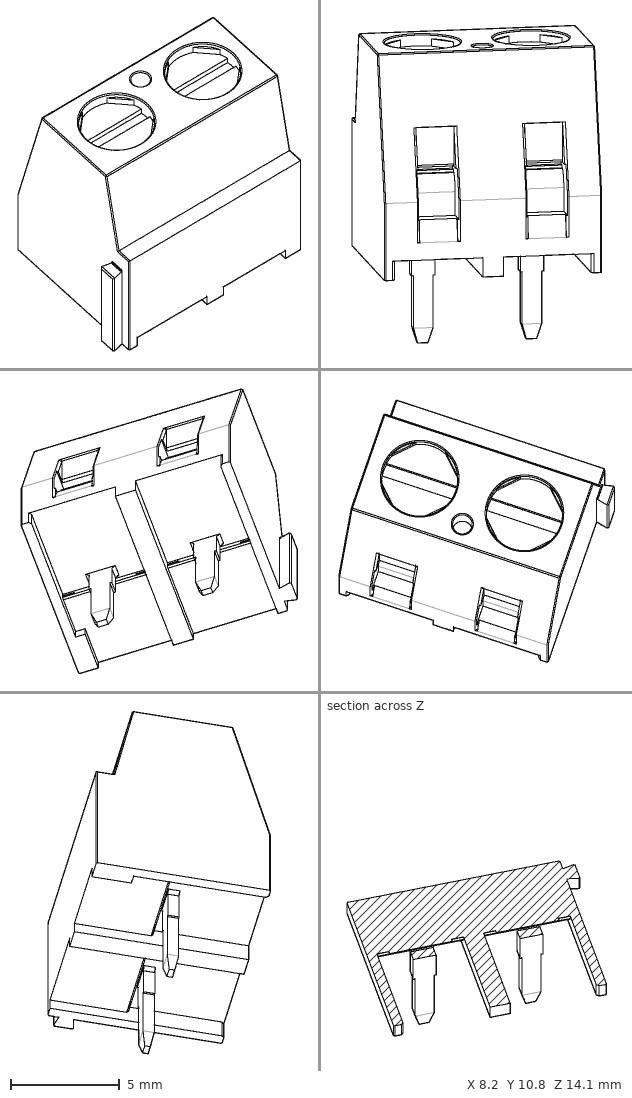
import cadquery as cq
import math


pitch = 5.08
pole_positions = (-pitch / 2, pitch / 2)
body_length = 2 * pitch
body_depth = 8.2
overall_height = 14.1
body_height = 10.28
slope_start_height = 3.62
top_front_x = 1.78
top_back_x = 6.5
step_x = 7.39
step_height = 5.98
end_chamfer = 0.05
terminal_x = 4.13

rib_projection = 0.6
rib_outer_width = 0.97
rib_root_width = 0.7
rib_x = 7.33
rib_height = 4.88
rib_chamfer = 0.07
rib_root_height = 4.95
rib_root_depth = 0.05

bore_diameter = 3.5
bore_chamfer = 0.05
flat_distance = 1.64
flat_top_depth = 0.23
screw_top_depth = 0.56
screw_slot_width = 0.62
screw_slot_depth = 0.28

test_hole_diameter = 0.9
test_hole_x = 2.74
test_hole_depth = 1.41
test_hole_chamfer = 0.05

window_width = 1.78
clamp_opening_width = 1.89
window_chamfer = 0.11
window_bottom = 1.72
window_top = 6.94
sill_height = 2.74
sill_x = 0.31
clamp_x = 0.99
clamp_arc_start = 3.85
clamp_arc_radius = 1.27
clamp_top = 4.68
clamp_lip_depth = 0.14
clamp_lip_top = 4.81
clamp_gap_top = 5.03
panel_chamfer = 0.11
clamp_gap_x = 1.69

recess_width = 4.1
recess_front_height = 0.9
recess_rear_height = 0.54
recess_front_depth = 4.51
rear_edge_chamfer = 0.08
recess_mouth_chamfer = 0.11
cage_width = 2.99
cage_groove_bottom = 0.66
cage_groove_top = 0.76
cage_groove_depth = 0.14
corner_boss_width = 0.95
corner_boss_x = 6.35

pin_thickness = 0.54
pin_shoulder_width = 1.1
pin_shoulder_bottom = -0.63
pin_width = 0.92
pin_taper_start = -3.09
pin_bottom = body_height - overall_height
pin_tip_width = 0.48
pin_tip_thickness = 0.27
pin_root_height = 0.73
pin_flare_width = 1.44


def make_housing():
    """Housing profile extruded along the row of poles, with chamfered end faces and top."""
    profile = [
        (0, 0),
        (body_depth, 0),
        (body_depth, step_height),
        (step_x, step_height),
        (top_back_x, body_height),
        (top_front_x, body_height),
        (0, slope_start_height),
    ]
    housing = cq.Workplane("XZ").polyline(profile).close().extrude(body_length / 2, both=True)
    top_edges = housing.faces(">Z").edges("|Y")
    return housing.faces("<Y or >Y").edges("not <Z").add(top_edges).chamfer(end_chamfer)


def make_rib():
    """Dovetail rib, wider at its outer face, on a slightly taller root strip."""
    face_y = -body_length / 2
    outline = [
        (rib_x - rib_root_width / 2, face_y),
        (rib_x - rib_outer_width / 2, face_y - rib_projection),
        (rib_x + rib_outer_width / 2, face_y - rib_projection),
        (rib_x + rib_root_width / 2, face_y),
    ]
    rib = cq.Workplane("XY").polyline(outline).close().extrude(rib_height)
    rib = rib.faces("<Y").edges("not <Z").chamfer(rib_chamfer)
    root = cq.Workplane("XY").box(
        rib_root_width, 2 * rib_root_depth, rib_root_height, centered=(True, True, False)
    )
    return rib.union(root.translate((rib_x, face_y, 0)))


def make_bore(pole_y):
    """Space above a screw: chamfered bore, four diagonal flats and the slot in the screw head."""
    radius = bore_diameter / 2
    floor = body_height - screw_top_depth
    bore = cq.Workplane("XY").workplane(offset=floor).circle(radius).extrude(screw_top_depth)
    flats = (
        cq.Workplane("XY")
        .workplane(offset=floor)
        .rect(2 * flat_distance, 2 * flat_distance)
        .extrude(screw_top_depth - flat_top_depth)
        .rotate((0, 0, 0), (0, 0, 1), 45)
    )
    upper = cq.Workplane("XY").workplane(offset=body_height - flat_top_depth)
    bore = bore.intersect(flats).union(upper.circle(radius).extrude(flat_top_depth))
    slot_floor = floor - screw_slot_depth
    slot = cq.Workplane("XY").workplane(offset=slot_floor).rect(screw_slot_width, bore_diameter)
    screw_disc = cq.Workplane("XY").workplane(offset=slot_floor).circle(radius)
    slot = slot.extrude(screw_slot_depth).intersect(screw_disc.extrude(screw_slot_depth))
    mouth = make_mouth(bore_diameter, bore_chamfer)
    return bore.union(slot).union(mouth).translate((terminal_x, pole_y, 0))


def make_mouth(diameter, chamfer):
    """Conical cutter that breaks the rim of a round hole in the top face."""
    return (
        cq.Workplane("XY")
        .workplane(offset=body_height - chamfer)
        .circle(diameter / 2)
        .workplane(offset=chamfer)
        .circle(diameter / 2 + chamfer)
        .loft()
    )


def make_test_hole():
    """Blind round hole between the two screws."""
    plane = cq.Workplane("XY").workplane(offset=body_height - test_hole_depth)
    hole = plane.circle(test_hole_diameter / 2).extrude(test_hole_depth)
    return hole.union(make_mouth(test_hole_diameter, test_hole_chamfer)).translate((test_hole_x, 0, 0))


def make_window(pole_y):
    """Wire entry: sloped sill, flat shelf, rounded clamp and the gap above the clamp."""
    sill = [(0, window_bottom), (sill_x, sill_height), (0, sill_height)]
    panel = [
        (0, clamp_gap_top),
        (clamp_x + panel_chamfer, clamp_gap_top),
        (clamp_x, clamp_gap_top + panel_chamfer),
        (clamp_x, window_top),
        (0, window_top),
    ]
    angle = math.asin((clamp_top - clamp_arc_start) / clamp_arc_radius)

    def clamp_point(turn):
        x = clamp_x + clamp_arc_radius * (1 - math.cos(turn))
        return x, clamp_arc_start + clamp_arc_radius * math.sin(turn)

    lip_x = clamp_point(angle)[0] + clamp_lip_depth
    opening = (
        cq.Workplane("XZ")
        .moveTo(0, sill_height)
        .lineTo(clamp_x, sill_height)
        .lineTo(clamp_x, clamp_arc_start)
        .threePointArc(clamp_point(angle / 2), clamp_point(angle))
        .lineTo(lip_x, clamp_top)
        .lineTo(lip_x, clamp_lip_top)
        .lineTo(clamp_gap_x, clamp_lip_top)
        .lineTo(clamp_gap_x, clamp_gap_top)
        .lineTo(0, clamp_gap_top)
        .close()
        .extrude(clamp_opening_width / 2, both=True)
    )
    for outline in (sill, panel):
        part = cq.Workplane("XZ").polyline(outline).close().extrude(window_width / 2, both=True)
        opening = opening.union(part)
    return opening.translate((0, pole_y, 0))


def make_window_flare(pole_y, side):
    """Cutter that bevels one side of a window's mouth along the upright and the sloped wall."""
    edge_y = pole_y + side * window_width / 2
    bevel = [(0, edge_y), (window_chamfer, edge_y), (0, edge_y + side * window_chamfer)]
    slope_angle = math.atan2(top_front_x, body_height - slope_start_height)
    slope_length = (window_top - slope_start_height) / math.cos(slope_angle)
    flare_start = cq.Workplane("XY").workplane(offset=slope_start_height)
    upright = flare_start.polyline(bevel).close().extrude(window_bottom - slope_start_height)
    sloped = flare_start.polyline(bevel).close().extrude(slope_length)
    hinge_start = (0, 0, slope_start_height)
    hinge_end = (0, 1, slope_start_height)
    sloped = sloped.rotate(hinge_start, hinge_end, math.degrees(slope_angle))
    return upright.union(sloped)


def make_recess(pole_y):
    """Underside channel with a lower rear ceiling, two cage grooves and a beveled outer corner."""
    profile = [
        (0, 0),
        (body_depth, 0),
        (body_depth, recess_rear_height),
        (recess_front_depth + rear_edge_chamfer, recess_rear_height),
        (recess_front_depth, recess_rear_height + rear_edge_chamfer),
        (recess_front_depth, recess_front_height),
        (0, recess_front_height),
    ]
    channel = cq.Workplane("XZ").polyline(profile).close().extrude(recess_width / 2, both=True)
    groove_strip = cq.Workplane("XY").box(
        cage_groove_depth, recess_width, cage_groove_top - cage_groove_bottom, centered=(False, True, False)
    )
    cage = cq.Workplane("XY").box(body_depth, cage_width, body_height)
    grooves = groove_strip.cut(cage).translate((recess_front_depth, 0, cage_groove_bottom))
    outer_side = math.copysign(1, pole_y)
    edge_y = outer_side * recess_width / 2
    bevel = [
        (0, edge_y),
        (recess_mouth_chamfer, edge_y),
        (0, edge_y + outer_side * recess_mouth_chamfer),
    ]
    mouth = cq.Workplane("XY").polyline(bevel).close().extrude(recess_front_height)
    return channel.union(grooves).union(mouth).translate((0, pole_y, 0))


def make_corner_boss():
    """Thickened foot at the back of the +Y end, ending short of the chamfered outer edge."""
    boss = cq.Workplane("XY").box(
        body_depth - corner_boss_x, corner_boss_width - end_chamfer, recess_front_height, centered=False
    )
    return boss.translate((corner_boss_x, body_length / 2 - corner_boss_width, 0))


def make_pin(pole_y):
    """Solder pin with a flared root, a wide shoulder and a four-sided tapered tip."""
    root_length = pin_root_height - pin_shoulder_bottom
    shank_length = pin_shoulder_bottom - pin_taper_start
    shoulder = cq.Workplane("XY").workplane(offset=pin_shoulder_bottom)
    shoulder = shoulder.rect(pin_thickness, pin_shoulder_width).extrude(root_length)
    taper_plane = cq.Workplane("XY").workplane(offset=pin_taper_start)
    shank = taper_plane.rect(pin_thickness, pin_width).extrude(shank_length)
    tip = (
        taper_plane.rect(pin_thickness, pin_width)
        .workplane(offset=pin_bottom - pin_taper_start)
        .rect(pin_tip_thickness, pin_tip_width)
        .loft()
    )
    root = cq.Workplane("XY").workplane(offset=pin_root_height).rect(pin_thickness, pin_shoulder_width)
    root = root.workplane(offset=recess_front_height - pin_root_height)
    root = root.rect(pin_thickness, pin_flare_width).loft()
    return shoulder.union(root).union(shank).union(tip).translate((terminal_x, pole_y, 0))


result = make_housing().cut(make_test_hole())
for pole in pole_positions:
    result = result.cut(make_bore(pole)).cut(make_window(pole))
    for side in (-1, 1):
        result = result.cut(make_window_flare(pole, side))
    result = result.cut(make_recess(pole)).union(make_pin(pole))
result = result.union(make_corner_boss()).union(make_rib())